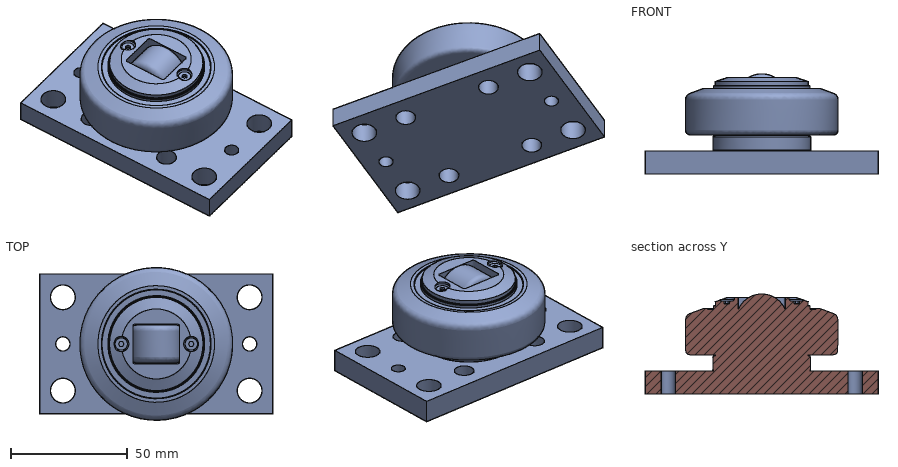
import cadquery as cq
import math

PLATE_LENGTH = 100.0
PLATE_WIDTH = 60.0
PLATE_HEIGHT = 10.0
MOUNT_HOLE_DIAMETER = 10.5
MOUNT_HOLE_X = 40.0
INNER_HOLE_DIAMETER = 8.4
INNER_HOLE_X = 20.0
HOLE_ROW_Y = 20.0
PIN_HOLE_DIAMETER = 6.0

NECK_DIAMETER = 42.0
NECK_TOP = 16.5
NECK_TOP_CHAMFER_HEIGHT = 0.6
NECK_TOP_CHAMFER_WIDTH = 0.3
NECK_CORE_DIAMETER = 40.0
NECK_BASE_CHAMFER = 0.3

CROWN_RADIUS = 500.0

ROLLER_DIAMETER = 65.5
ROLLER_BOTTOM = 16.8
ROLLER_HEIGHT = 20.0
ROLLER_TOP = ROLLER_BOTTOM + ROLLER_HEIGHT
ROLLER_FACE_DIAMETER = 50.0
ROLLER_TOP_FILLET = 3.0
ROLLER_BOTTOM_FILLET = 2.0
BEVEL_ANGLE = 20.0

RECESS_DIAMETER = 47.0
RECESS_DEPTH = 0.3
RECESS_SLOPE_WIDTH = 0.3

SHOULDER_DIAMETER = 41.5
SHOULDER_TOP = 38.0
SHOULDER_CHAMFER = 0.3
CAP_DIAMETER = 40.0
CAP_FLAT_DIAMETER = 30.0
CAP_TOP = 41.5

TOTAL_HEIGHT = 43.1
WINDOW_LENGTH = 20.0
WINDOW_WIDTH = 17.0
WINDOW_CORNER_RADIUS = 0.8
SIDE_ROLLER_DIAMETER = 22.0
SIDE_ROLLER_WIDTH = 16.2
SIDE_ROLLER_FILLET = 2.5
SIDE_ROLLER_AXIS_Z = TOTAL_HEIGHT - SIDE_ROLLER_DIAMETER / 2

SCREW_X = 15.0
SCREW_RECESS_DIAMETER = 6.5
SCREW_HEAD_DIAMETER = 5.3
SCREW_RECESS_DEPTH = 1.5
SOCKET_ACROSS_FLATS = 2.0
SOCKET_DEPTH = 1.2


def disc(diameter, bottom, top):
    """Upright cylinder on the Z axis between two heights."""
    return cq.Workplane("XY").workplane(offset=bottom).circle(diameter / 2).extrude(top - bottom)


def bevel_drop(outer_diameter, inner_diameter):
    """Height lost by the bevel between two diameters."""
    return (outer_diameter - inner_diameter) / 2 * math.tan(math.radians(BEVEL_ANGLE))


def crowned_radius(diameter, offset):
    """Radius of a crowned roller at an axial offset from its middle."""
    return diameter / 2 - CROWN_RADIUS + math.sqrt(CROWN_RADIUS**2 - offset**2)


def make_plate():
    plate = cq.Workplane("XY").box(PLATE_LENGTH, PLATE_WIDTH, PLATE_HEIGHT, centered=(True, True, False))
    hole_sets = [
        (MOUNT_HOLE_DIAMETER, MOUNT_HOLE_X, (-HOLE_ROW_Y, HOLE_ROW_Y)),
        (INNER_HOLE_DIAMETER, INNER_HOLE_X, (-HOLE_ROW_Y, HOLE_ROW_Y)),
        (PIN_HOLE_DIAMETER, MOUNT_HOLE_X, (0,)),
    ]
    for diameter, x, rows in hole_sets:
        points = [(side * x, y) for side in (-1, 1) for y in rows]
        plate = plate.faces(">Z").workplane(origin=(0, 0, 0)).pushPoints(points).hole(diameter)
    return plate


def make_neck():
    neck = disc(NECK_DIAMETER, PLATE_HEIGHT, NECK_TOP)
    neck = neck.faces(">Z").chamfer(NECK_TOP_CHAMFER_HEIGHT, NECK_TOP_CHAMFER_WIDTH)
    neck = neck.faces("<Z").chamfer(NECK_BASE_CHAMFER)
    return neck.union(disc(NECK_CORE_DIAMETER, NECK_TOP, ROLLER_BOTTOM))


def make_roller():
    middle_z = ROLLER_BOTTOM + ROLLER_HEIGHT / 2
    rim_z = ROLLER_TOP - bevel_drop(ROLLER_DIAMETER, ROLLER_FACE_DIAMETER)
    bottom_radius = crowned_radius(ROLLER_DIAMETER, ROLLER_BOTTOM - middle_z)
    rim_radius = crowned_radius(ROLLER_DIAMETER, rim_z - middle_z)
    roller = (
        cq.Workplane("XZ")
        .moveTo(0, ROLLER_BOTTOM)
        .lineTo(bottom_radius, ROLLER_BOTTOM)
        .threePointArc((ROLLER_DIAMETER / 2, middle_z), (rim_radius, rim_z))
        .lineTo(ROLLER_FACE_DIAMETER / 2, ROLLER_TOP)
        .lineTo(0, ROLLER_TOP)
        .close()
        .revolve(360, (0, 0), (0, 1))
    )
    roller = roller.faces("<Z").edges().fillet(ROLLER_BOTTOM_FILLET)
    rim_edge = cq.selectors.NearestToPointSelector((0, 0, rim_z))
    roller = roller.edges(rim_edge).fillet(ROLLER_TOP_FILLET)
    recess_floor = cq.Vector(0, 0, ROLLER_TOP - RECESS_DEPTH)
    recess_radius = RECESS_DIAMETER / 2
    recess = cq.Solid.makeCone(recess_radius - RECESS_SLOPE_WIDTH, recess_radius, RECESS_DEPTH, recess_floor)
    return roller.cut(cq.Workplane(recess))


def make_cap():
    shoulder = disc(SHOULDER_DIAMETER, ROLLER_TOP - RECESS_DEPTH, SHOULDER_TOP)
    shoulder = shoulder.faces(">Z").chamfer(SHOULDER_CHAMFER)
    bevel_height = bevel_drop(CAP_DIAMETER, CAP_FLAT_DIAMETER)
    cap = disc(CAP_DIAMETER, SHOULDER_TOP, CAP_TOP)
    cap = cap.faces(">Z").chamfer(bevel_height, (CAP_DIAMETER - CAP_FLAT_DIAMETER) / 2)
    return shoulder.union(cap)


def make_window():
    return (
        cq.Workplane("XY")
        .workplane(offset=SIDE_ROLLER_AXIS_Z)
        .rect(WINDOW_LENGTH, WINDOW_WIDTH)
        .extrude(CAP_TOP - SIDE_ROLLER_AXIS_Z)
        .edges("|Z")
        .fillet(WINDOW_CORNER_RADIUS)
    )


def make_side_roller():
    half_width = SIDE_ROLLER_WIDTH / 2
    end_radius = crowned_radius(SIDE_ROLLER_DIAMETER, half_width)
    return (
        cq.Workplane("XY", origin=(0, 0, SIDE_ROLLER_AXIS_Z))
        .moveTo(0, -half_width)
        .lineTo(end_radius, -half_width)
        .threePointArc((SIDE_ROLLER_DIAMETER / 2, 0), (end_radius, half_width))
        .lineTo(0, half_width)
        .close()
        .revolve(360, (0, 0), (0, 1))
        .faces("<Y or >Y")
        .edges()
        .fillet(SIDE_ROLLER_FILLET)
    )


def make_screw_recess(x):
    floor_z = CAP_TOP - SCREW_RECESS_DEPTH
    recess = (
        cq.Workplane("XY", origin=(x, 0, floor_z))
        .circle(SCREW_RECESS_DIAMETER / 2)
        .extrude(SCREW_RECESS_DEPTH)
        .faces("<Z")
        .chamfer((SCREW_RECESS_DIAMETER - SCREW_HEAD_DIAMETER) / 2)
    )
    socket_across_corners = SOCKET_ACROSS_FLATS / math.cos(math.pi / 6)
    socket = cq.Workplane("XY", origin=(x, 0, floor_z)).polygon(6, socket_across_corners).extrude(-SOCKET_DEPTH)
    return recess.union(socket)


result = make_plate().union(make_neck()).union(make_roller()).union(make_cap())
result = result.cut(make_window()).union(make_side_roller())
for screw_x in (-SCREW_X, SCREW_X):
    result = result.cut(make_screw_recess(screw_x))